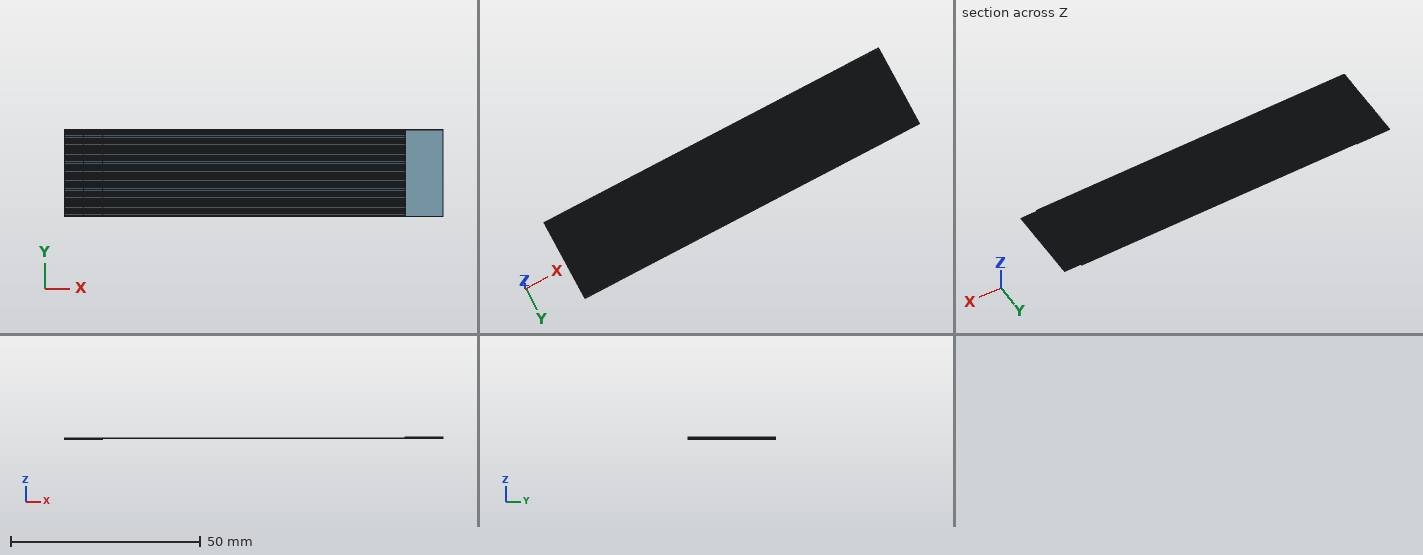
import cadquery as cq


length = 100.0
thickness = 0.59

conductor_count = 45
pitch = 0.5
conductor_width = 0.3
conductor_thickness = 0.05
width = (conductor_count + 1) * pitch

film_thickness = 0.04
contact_length = 5.0
stiffener_length = 10.0
film_length = length - contact_length
core_thickness = conductor_thickness + 2 * film_thickness
stiffener_thickness = (thickness - core_thickness) / 2

conductor_top = conductor_thickness / 2
film_top = conductor_top + film_thickness


def strip(x_start, strip_length, z_bottom, strip_thickness):
    """Full-width flat strip that starts at x_start and rests on z_bottom."""
    return (
        cq.Workplane("XY", origin=(x_start + strip_length / 2, 0, z_bottom))
        .box(strip_length, width, strip_thickness, centered=(True, True, False))
    )


def conductors():
    """Row of full-length conductors, spaced evenly across the width."""
    return (
        cq.Workplane("XY")
        .rarray(1, pitch, 1, conductor_count)
        .box(length, conductor_width, conductor_thickness)
    )


def upper_layers():
    """Film and stiffener above the conductors; the -X contacts stay bare."""
    film = strip(length / 2 - film_length, film_length, conductor_top, film_thickness)
    stiffener = strip(length / 2 - stiffener_length, stiffener_length, film_top, stiffener_thickness)
    return film.union(stiffener)


lower_layers = upper_layers().rotate((0, 0, 0), (0, 1, 0), 180)

result = upper_layers().union(lower_layers).union(conductors())